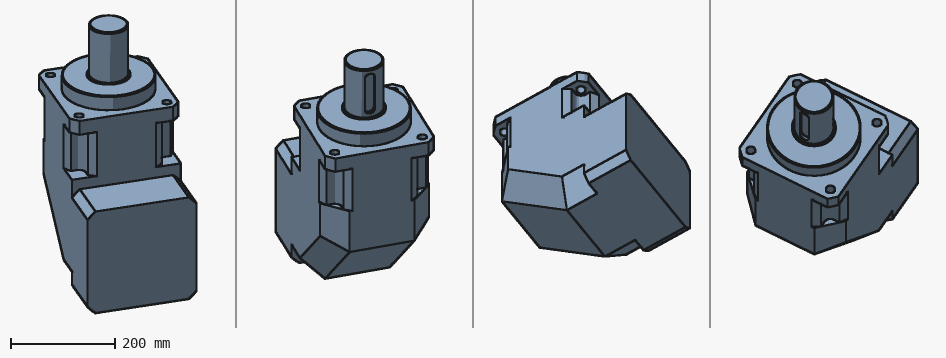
import math

import cadquery as cq

total_height = 508.0
total_length = 317.0

side = 220.0
half = side / 2
flange_top = 368.0
flange_thickness = 30.0
corner_diameter = 289.5
elbow_start = 150.5
body_chamfer = 44.5

hole_diameter = 17.5
bolt_circle = 250.0
pocket_height = 95.0
pocket_radius = 13.5

pilot_diameter = 180.0
pilot_height = 30.5
pilot_chamfer = 2.0
collar_diameter = 84.5
collar_height = 1.5
collar_chamfer = 1.0
shaft_diameter = 75.0
shaft_chamfer = 2.5

key_width = 20.0
key_length = 90.0
key_depth = 7.5
key_top_gap = 10.0

flange_bottom = flange_top - flange_thickness
pilot_top = flange_top + pilot_height
hole_offset = bolt_circle / 2 * math.sqrt(0.5)


def make_body():
    """Block up to the flange, with the elbow cut and its outer edges chamfered."""
    outline = [
        (-half, flange_bottom),
        (-half, elbow_start),
        (elbow_start - half, 0),
        (half, 0),
        (half, flange_bottom),
    ]
    body = cq.Workplane("XZ").polyline(outline).close().extrude(half, both=True)
    outer_edges = (
        body.edges("|Z and <X")
        .add(body.edges("|X and <Z"))
        .add(body.faces("<(1, 0, 1)").edges("not |Y"))
    )
    return outer_edges.chamfer(body_chamfer)


def make_rounded_square(plane, length):
    """Square bar along the plane's normal, its corners rounded by a circle about its centre."""
    round_bar = cq.Workplane(plane).circle(corner_diameter / 2).extrude(length)
    return cq.Workplane(plane).rect(side, side).extrude(length).intersect(round_bar)


def make_motor_box():
    """Box set against the body, standing on the same base."""
    return make_rounded_square("YZ", total_length - side).translate((half, 0, half))


def make_flange():
    """Plate on top of the body, with four mounting holes."""
    plate = make_rounded_square("XY", flange_thickness)
    holes = (
        cq.Workplane("XY")
        .rect(2 * hole_offset, 2 * hole_offset, forConstruction=True)
        .vertices()
        .circle(hole_diameter / 2)
        .extrude(flange_thickness)
    )
    return plate.cut(holes).translate((0, 0, flange_bottom))


def make_corner_pockets():
    """Screw pockets under the flange: the corners outside the bolt circle, plus round-backed slots."""
    pocket_floor = cq.Workplane("XY").workplane(offset=flange_bottom - pocket_height)
    round_core = pocket_floor.circle(bolt_circle / 2).extrude(pocket_height)
    pockets = pocket_floor.rect(side, side).extrude(pocket_height).cut(round_core)
    slot_side = half - hole_offset + pocket_radius
    slot_centre = half - slot_side / 2
    axis_point = (0, 0, flange_bottom - pocket_height / 2)
    inner_edge = cq.selectors.NearestToPointSelector(axis_point)
    for x_sign in (-1, 1):
        for y_sign in (-1, 1):
            slot = (
                pocket_floor.center(x_sign * slot_centre, y_sign * slot_centre)
                .rect(slot_side, slot_side)
                .extrude(pocket_height)
            )
            pockets = pockets.union(slot.edges("|Z").edges(inner_edge).fillet(pocket_radius))
    return pockets


def make_disc(diameter, bottom, top, chamfer):
    """Cylinder on the shaft axis with its top edge chamfered."""
    disc = cq.Workplane("XY").workplane(offset=bottom).circle(diameter / 2).extrude(top - bottom)
    return disc.faces(">Z").edges().chamfer(chamfer)


def make_keyway():
    """Round-ended slot sunk into the -X side of the shaft."""
    centre_height = total_height - key_top_gap - key_length / 2
    floor_x = key_depth - shaft_diameter / 2
    return (
        cq.Workplane("YZ", origin=(floor_x, 0, centre_height))
        .slot2D(key_length, key_width, 90)
        .extrude(-2 * key_depth)
    )


body = make_body().cut(make_corner_pockets())
pilot = make_disc(pilot_diameter, flange_top, pilot_top, pilot_chamfer)
collar = make_disc(collar_diameter, pilot_top, pilot_top + collar_height, collar_chamfer)
shaft = make_disc(shaft_diameter, pilot_top, total_height, shaft_chamfer).cut(make_keyway())

result = body.union(make_motor_box()).union(make_flange()).union(pilot).union(collar).union(shaft)